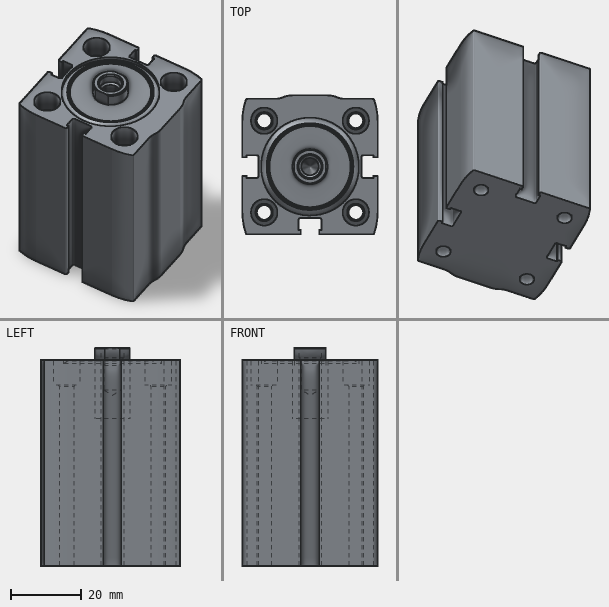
import cadquery as cq
import math

housing_height = 58.5
rod_projection = 3.5
rod_top = housing_height + rod_projection

half_width = 19.25
crown_rise = 1.0
crown_flat_half = 5.0
crown_foot_half = 10.0
straight_side_half = 12.8
side_bow_radius = 19.0
corner_radius = 0.5

slot_mouth_half = 2.6
slot_inner_half = 3.2
slot_depth = 4.6
slot_lip = 1.3
slot_corner_radius = 0.5
slot_mouth_radius = 0.3

hole_pitch = 26.0
hole_diameter = 4.13
hole_mouth_diameter = 5.0
counterbore_diameter = 7.5
counterbore_depth = 7.0

recess_radius = 27.8 / 2
recess_depth = 1.0
cover_rim_radius = 12.35
cover_step_outer_radius = 12.1
cover_step_inner_radius = 11.8
cover_step_drop = 0.15
cover_face_radius = 11.5
cover_face_drop = 0.3

rod_diameter = 10.0
rod_length = 20.0
rod_chamfer = 0.3
rod_across_flats = 9.0
rod_flat_length = 5.0
rod_mouth_diameter = 7.2
rod_mouth_depth = 0.4
rod_relief_diameter = 6.4
rod_relief_depth = 2.8
rod_tap_diameter = 4.92
rod_tap_depth = 12.0
drill_half_angle = math.radians(59)
relief_half_angle = math.radians(60)


def s_curve(sketch, start, end):
    """Join two level lines by two equal arcs that meet halfway at a common slope."""
    run = end[0] - start[0]
    rise = end[1] - start[1]
    radius = (run**2 + rise**2) / (4 * abs(rise))
    sweep_half = math.asin(abs(run) / 2 / radius) / 2
    quarter_run = math.copysign(radius * math.sin(sweep_half), run)
    quarter_rise = math.copysign(radius * (1 - math.cos(sweep_half)), rise)
    middle = (start[0] + run / 2, start[1] + rise / 2)
    first = (start[0] + quarter_run, start[1] + quarter_rise)
    second = (end[0] - quarter_run, end[1] - quarter_rise)
    return sketch.threePointArc(first, middle).threePointArc(second, end)


def bow_inset(height):
    """Distance the bowed side has moved in from the straight side at a given |Y|."""
    beyond = height - straight_side_half
    return side_bow_radius - math.sqrt(side_bow_radius**2 - beyond**2)


def bowed_side_point(height):
    return half_width - bow_inset(abs(height)), height


def mirrored(point):
    return -point[0], point[1]


def housing_block():
    crown_y = half_width + crown_rise
    middle_height = (straight_side_half + half_width) / 2
    top_corner = bowed_side_point(half_width)
    bottom_corner = bowed_side_point(-half_width)
    top_bow = bowed_side_point(middle_height)
    bottom_bow = bowed_side_point(-middle_height)
    outline = cq.Workplane("XY").moveTo(*bottom_corner)
    outline = outline.threePointArc(bottom_bow, (half_width, -straight_side_half))
    outline = outline.lineTo(half_width, straight_side_half)
    outline = outline.threePointArc(top_bow, top_corner)
    outline = outline.lineTo(crown_foot_half, half_width)
    outline = s_curve(outline, (crown_foot_half, half_width), (crown_flat_half, crown_y))
    outline = outline.lineTo(-crown_flat_half, crown_y)
    outline = s_curve(outline, (-crown_flat_half, crown_y), (-crown_foot_half, half_width))
    outline = outline.lineTo(*mirrored(top_corner))
    outline = outline.threePointArc(mirrored(top_bow), (-half_width, straight_side_half))
    outline = outline.lineTo(-half_width, -straight_side_half)
    outline = outline.threePointArc(mirrored(bottom_bow), mirrored(bottom_corner))
    block = outline.close().extrude(housing_height)
    corner_x = top_corner[0]
    probe = 0.01
    for side in (-1, 1):
        for end in (-1, 1):
            x, y = side * corner_x, end * half_width
            corner = cq.selectors.BoxSelector(
                (x - probe, y - probe, 0), (x + probe, y + probe, housing_height)
            )
            block = block.edges(corner).fillet(corner_radius)
    return block


def t_slot():
    """Cutter for the slot on the -Y side."""
    chamber_depth = slot_depth - slot_lip
    chamber = (
        cq.Workplane("XY")
        .center(0, -half_width + slot_lip + chamber_depth / 2)
        .rect(2 * slot_inner_half, chamber_depth)
        .extrude(housing_height)
        .edges("|Z and >Y")
        .fillet(slot_corner_radius)
    )
    flare_y = -half_width + slot_mouth_radius
    flare_x = slot_mouth_half + slot_mouth_radius
    flare_mid = slot_mouth_radius * (1 - math.sqrt(0.5))
    mouth_arc_x = slot_mouth_half + flare_mid
    mouth_arc_y = -half_width + flare_mid
    mouth = (
        cq.Workplane("XY")
        .moveTo(-flare_x, -half_width)
        .threePointArc((-mouth_arc_x, mouth_arc_y), (-slot_mouth_half, flare_y))
        .lineTo(-slot_mouth_half, -half_width + slot_lip)
        .lineTo(slot_mouth_half, -half_width + slot_lip)
        .lineTo(slot_mouth_half, flare_y)
        .threePointArc((mouth_arc_x, mouth_arc_y), (flare_x, -half_width))
        .close()
        .extrude(housing_height)
    )
    return chamber.union(mouth)


def mounting_hole():
    """Cutter for one mounting hole: counterbore, chamfered mouth and through hole."""
    floor = housing_height - counterbore_depth
    mouth_depth = (hole_mouth_diameter - hole_diameter) / 2
    return (
        cq.Workplane("XZ")
        .lineTo(hole_diameter / 2, 0)
        .lineTo(hole_diameter / 2, floor - mouth_depth)
        .lineTo(hole_mouth_diameter / 2, floor)
        .lineTo(counterbore_diameter / 2, floor)
        .lineTo(counterbore_diameter / 2, housing_height)
        .lineTo(0, housing_height)
        .close()
        .revolve(360, (0, 0), (0, 1))
    )


def ring_recess():
    """Cutter for the ring whose floor slopes up to the edge of the end cover."""
    return (
        cq.Workplane("XZ")
        .moveTo(cover_rim_radius, housing_height)
        .lineTo(recess_radius, housing_height - recess_depth)
        .lineTo(recess_radius, housing_height)
        .close()
        .revolve(360, (0, 0), (0, 1))
    )


def cover_face():
    """Cutter that sinks the cover face in two fine bevelled steps."""
    face_z = housing_height - cover_face_drop
    step_z = housing_height - cover_step_drop
    return (
        cq.Workplane("XZ")
        .moveTo(0, face_z)
        .lineTo(cover_face_radius, face_z)
        .lineTo(cover_step_inner_radius, step_z)
        .lineTo(cover_step_outer_radius, step_z)
        .lineTo(cover_rim_radius, housing_height)
        .lineTo(0, housing_height)
        .close()
        .revolve(360, (0, 0), (0, 1))
    )


def rod_blank():
    """Plain rod, which also cuts its own hole in the end cover."""
    base = cq.Workplane("XY").workplane(offset=rod_top - rod_length)
    return base.circle(rod_diameter / 2).extrude(rod_length)


def build_housing():
    body = housing_block()
    for angle in (-90, 0, 90):
        body = body.cut(t_slot().rotate((0, 0, 0), (0, 0, 1), angle))
    for x in (-hole_pitch / 2, hole_pitch / 2):
        for y in (-hole_pitch / 2, hole_pitch / 2):
            body = body.cut(mounting_hole().translate((x, y, 0)))
    return body.cut(ring_recess()).cut(cover_face()).cut(rod_blank())


def rod_bore():
    """Cutter for the threaded end of the rod, with a conical drill point."""
    mouth_radius = rod_mouth_diameter / 2
    relief_radius = rod_relief_diameter / 2
    tap_radius = rod_tap_diameter / 2
    shoulder_depth = rod_relief_depth + (relief_radius - tap_radius) / math.tan(relief_half_angle)
    point_depth = rod_tap_depth + tap_radius / math.tan(drill_half_angle)
    return (
        cq.Workplane("XZ")
        .moveTo(0, rod_top)
        .lineTo(mouth_radius, rod_top)
        .lineTo(relief_radius, rod_top - rod_mouth_depth)
        .lineTo(relief_radius, rod_top - rod_relief_depth)
        .lineTo(tap_radius, rod_top - shoulder_depth)
        .lineTo(tap_radius, rod_top - rod_tap_depth)
        .lineTo(0, rod_top - point_depth)
        .close()
        .revolve(360, (0, 0), (0, 1))
    )


def build_rod():
    body = rod_blank().faces(">Z").edges().chamfer(rod_chamfer)
    flat_cut = (rod_diameter - rod_across_flats) / 2
    for side in (-1, 1):
        cutter = cq.Workplane("XY").box(flat_cut, rod_diameter, rod_flat_length)
        x = side * (rod_across_flats + flat_cut) / 2
        body = body.cut(cutter.translate((x, 0, rod_top - rod_flat_length / 2)))
    return body.cut(rod_bore())


housing = build_housing()
rod = build_rod()
result = cq.Compound.makeCompound([housing.val(), rod.val()])